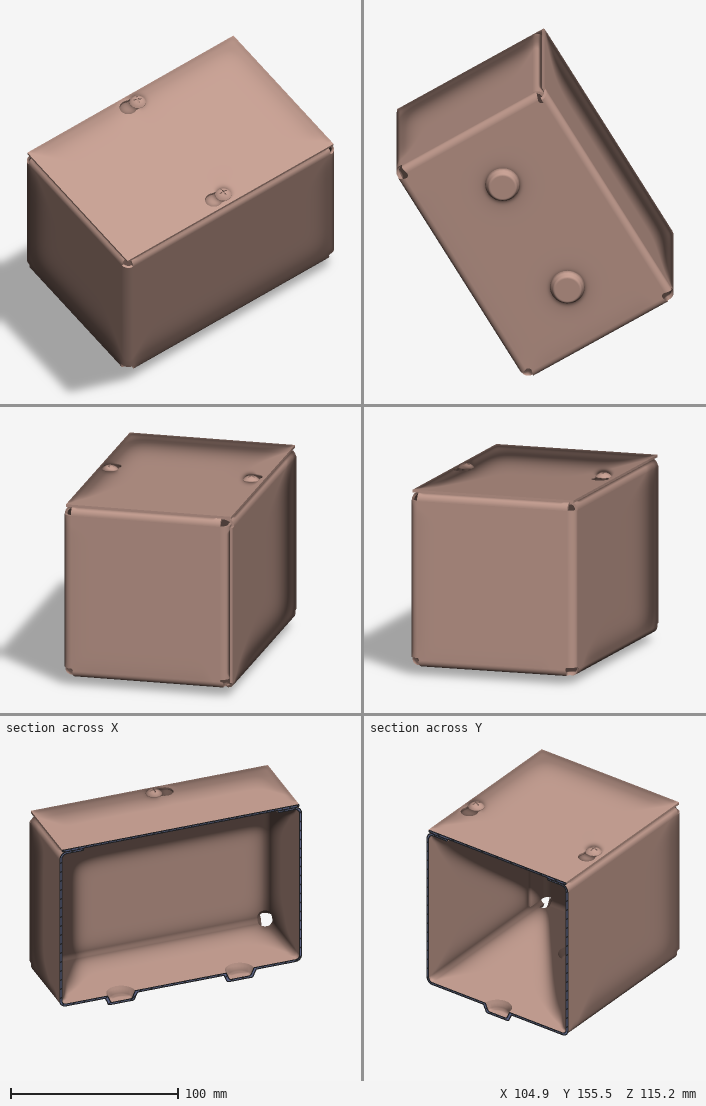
import cadquery as cq

LENGTH_X = 104.9
LENGTH_Y = 155.5
HEIGHT = 106.1
SHEET = 1.5
BEND = 4.8
FLOOR_BEND = 4.2
FLANGE = 15.5
RELIEF_RADIUS = 5.0
RELIEF_RISE = 0.3

TAB_LENGTH = 12.5
TAB_GAP = 1.4
TOP_RELIEF = 3.5
FLOOR_RELIEF = 1.7
FLOOR_MITRE = 3.1

BOSS_SPACING = 76.2
BOSS_ROOT_DIAMETER = 20.8
BOSS_END_DIAMETER = 16.5
BOSS_HEIGHT = 5.0
BOSS_EDGE = 1.5

LID_X = 102.0
LID_Y = 152.1
KEYHOLE_DIAMETER = 10.5
KEYHOLE_SLOT = 9.0
KEYHOLE_TRAVEL = 7.0

SCREW_X = 43.5
HEAD_DIAMETER = 9.8
HEAD_HEIGHT = 2.6
HEAD_RIM = 0.3
SHANK_DIAMETER = 4.2
SHANK_BELOW_FLANGE = 3.1
CROSS_LENGTH = 5.3
CROSS_WIDTH = 1.1
CROSS_DEPTH = 1.2
LEFT_SCREW_TURN = -24.0
RIGHT_SCREW_TURN = 0.0

HALF_X = LENGTH_X / 2
HALF_Y = LENGTH_Y / 2
INNER_BEND = BEND - SHEET
INNER_FLOOR_BEND = FLOOR_BEND - SHEET
TOP_BEND_START = HEIGHT - BEND
LID_TOP = HEIGHT + SHEET
CORNER_X = HALF_X - BEND
CORNER_Y = HALF_Y - BEND
LEFT_END_START = CORNER_Y - RELIEF_RADIUS
TAB_FACE = -HALF_X + SHEET + TAB_GAP
TAB_BEND_X = TAB_FACE + BEND


def block(x_range, y_range, z_range):
    """Box between two limits along each axis."""
    size = [high - low for low, high in (x_range, y_range, z_range)]
    corner = (x_range[0], y_range[0], z_range[0])
    return cq.Workplane("XY").box(*size, centered=False).translate(corner)


def rounded_block(inset, upright_radius, floor_radius):
    """Box outline moved inward by inset, with all its edges rounded."""
    body = block(
        (inset - HALF_X, HALF_X - inset),
        (inset - HALF_Y, HALF_Y - inset),
        (inset, HEIGHT - inset),
    )
    body = body.edges("|Z").fillet(upright_radius)
    return body.faces(">Z").edges().fillet(upright_radius).faces("<Z").edges().fillet(floor_radius)


def rounded_prism(inset, top_radius, floor_radius):
    """Back end of the XZ section of the box, run straight without upright bends."""
    body = block(
        (inset - HALF_X, HALF_X - inset),
        (LEFT_END_START, HALF_Y),
        (inset, HEIGHT - inset),
    )
    return body.edges("|Y and >Z").fillet(top_radius).edges("|Y and <Z").fillet(floor_radius)


def shell_with_flanges():
    shell = rounded_block(0, BEND, FLOOR_BEND).cut(rounded_block(SHEET, INNER_BEND, INNER_FLOOR_BEND))
    opening = cq.Workplane("XY").box(
        LENGTH_X - 2 * FLANGE, LENGTH_Y - 2 * FLANGE, 2 * BEND
    ).translate((0, 0, HEIGHT))
    return shell.cut(opening)


def cut_corner_reliefs(shell):
    """Square notches between the top bends and round reliefs between the floor bends."""
    for x_side in (-1, 1):
        for y_side in (-1, 1):
            notch = cq.Workplane("XY").box(2 * BEND, 2 * BEND, 2 * BEND).translate(
                (x_side * HALF_X, y_side * HALF_Y, HEIGHT)
            )
            relief = cq.Workplane("XY").sphere(RELIEF_RADIUS).translate(
                (x_side * CORNER_X, y_side * CORNER_Y, FLOOR_BEND + RELIEF_RISE)
            )
            shell = shell.cut(notch).cut(relief)
    return shell


def left_wall_end():
    """End of the left wall, which runs straight to the back past the corner."""
    section = rounded_prism(0, BEND, FLOOR_BEND).cut(rounded_prism(SHEET, INNER_BEND, INNER_FLOOR_BEND))
    end = section.intersect(block((-HALF_X, -CORNER_X), (LEFT_END_START, HALF_Y), (0, HEIGHT)))
    top_notch = block((-HALF_X, -CORNER_X), (HALF_Y - TOP_RELIEF, HALF_Y), (TOP_BEND_START, HEIGHT))
    mitre_start = HALF_Y - FLOOR_RELIEF
    floor_mitre = (
        cq.Workplane("YZ")
        .polyline([
            (mitre_start, FLOOR_BEND),
            (mitre_start - FLOOR_MITRE, 0),
            (HALF_Y, 0),
            (HALF_Y, FLOOR_BEND),
        ])
        .close()
        .extrude(-HALF_X)
    )
    return end.cut(top_notch).cut(floor_mitre)


def back_wall_tab():
    """Bend at the left end of the back wall and the tab that lies inside the left wall."""
    bottom = FLOOR_BEND + SHEET
    height = TOP_BEND_START - bottom
    bend = (
        cq.Workplane("XY", origin=(TAB_BEND_X, CORNER_Y, bottom))
        .circle(BEND)
        .circle(INNER_BEND)
        .extrude(height)
        .intersect(block((TAB_FACE, TAB_BEND_X), (CORNER_Y, HALF_Y), (0, HEIGHT)))
    )
    tab = block((TAB_FACE, TAB_FACE + SHEET), (CORNER_Y - TAB_LENGTH, CORNER_Y), (bottom, TOP_BEND_START))
    return bend.union(tab)


def open_back_left_corner(shell):
    """Replace the rounded back-left corner by the straight wall end and the tab beside it."""
    corner = block((-HALF_X, TAB_BEND_X), (CORNER_Y, HALF_Y), (FLOOR_BEND, HEIGHT))
    rounded_end = block((-HALF_X, -CORNER_X), (LEFT_END_START, HALF_Y), (0, HEIGHT))
    return shell.cut(corner).cut(rounded_end).union(left_wall_end()).union(back_wall_tab())


def boss_form(root_radius, end_radius, end_z, edge_radius):
    """Solid cone frustum from the underside of the floor down to end_z, with a rounded end."""
    cone = (
        cq.Workplane("XZ")
        .polyline([(0, 0), (root_radius, 0), (end_radius, end_z), (0, end_z)])
        .close()
        .revolve(360, (0, 0, 0), (0, 1, 0))
    )
    return cone.faces("<Z").edges().fillet(edge_radius)


def add_bosses(shell):
    root_radius = BOSS_ROOT_DIAMETER / 2
    end_radius = BOSS_END_DIAMETER / 2
    outside = boss_form(root_radius, end_radius, -BOSS_HEIGHT, BOSS_EDGE)
    hollow = boss_form(root_radius - SHEET, end_radius - SHEET, -BOSS_HEIGHT, BOSS_EDGE)
    hollow = hollow.translate((0, 0, SHEET))
    for side in (-1, 1):
        place = (0, side * BOSS_SPACING / 2, 0)
        shell = shell.union(outside.translate(place)).cut(hollow.translate(place))
    return shell


def make_box():
    box = open_back_left_corner(cut_corner_reliefs(shell_with_flanges()))
    box = add_bosses(box)
    screw_holes = (
        cq.Workplane("XY", origin=(0, 0, HEIGHT - SHEET))
        .pushPoints([(-SCREW_X, 0), (SCREW_X, 0)])
        .circle(SHANK_DIAMETER / 2)
        .extrude(SHEET)
    )
    return box.cut(screw_holes)


def keyhole(x):
    """Slot that holds the screw, opening into a round end wide enough for its head."""
    wide_end = cq.Workplane("XY").center(x, -KEYHOLE_TRAVEL).circle(KEYHOLE_DIAMETER / 2).extrude(SHEET)
    slot = (
        cq.Workplane("XY")
        .center(x, -KEYHOLE_TRAVEL / 2)
        .slot2D(KEYHOLE_TRAVEL + KEYHOLE_SLOT, KEYHOLE_SLOT, 90)
        .extrude(SHEET)
    )
    return wide_end.union(slot).translate((0, 0, HEIGHT))


def make_lid():
    lid = cq.Workplane("XY").rect(LID_X, LID_Y).extrude(SHEET).translate((0, 0, HEIGHT))
    for x in (-SCREW_X, SCREW_X):
        lid = lid.cut(keyhole(x))
    return lid


def make_screw(x, turn):
    """Domed screw with a cross recess turned about its axis, its head resting on the lid."""
    head_radius = HEAD_DIAMETER / 2
    dome_height = HEAD_HEIGHT - HEAD_RIM
    dome_radius = (head_radius**2 + dome_height**2) / (2 * dome_height)
    dome = cq.Workplane("XY").sphere(dome_radius).translate((0, 0, HEAD_HEIGHT - dome_radius))
    head = cq.Workplane("XY").circle(head_radius).extrude(HEAD_HEIGHT).intersect(dome)
    shank_length = 2 * SHEET + SHANK_BELOW_FLANGE
    shank = cq.Workplane("XY").circle(SHANK_DIAMETER / 2).extrude(-shank_length)
    cross_floor = cq.Workplane("XY", origin=(0, 0, HEAD_HEIGHT - CROSS_DEPTH))
    arm = cross_floor.rect(CROSS_LENGTH, CROSS_WIDTH).extrude(CROSS_DEPTH)
    cross = arm.union(cross_floor.rect(CROSS_WIDTH, CROSS_LENGTH).extrude(CROSS_DEPTH))
    screw = head.union(shank).cut(cross)
    return screw.rotate((0, 0, 0), (0, 0, 1), turn).translate((x, 0, LID_TOP))


box = make_box()
lid = make_lid()
screws = [
    make_screw(x, turn)
    for x, turn in ((-SCREW_X, LEFT_SCREW_TURN), (SCREW_X, RIGHT_SCREW_TURN))
]

result = cq.Compound.makeCompound([box.val(), lid.val(), *[screw.val() for screw in screws]])